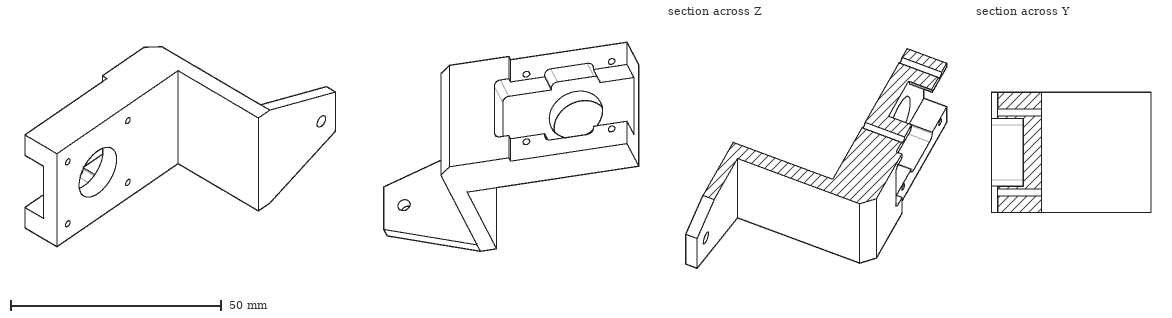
import cadquery as cq


total_width = 37.9
total_length = 69.3
height = 28.6

arm_back_x = 11.9
arm_step_depth = 1.5
arm_step_length = 28.7

web_thickness = 4.0
tab_thickness = 3.0
tab_length = 23.0
tab_tip_height = 12.0
corner_chamfer = 3.0
web_back_y = total_length - tab_length
web_front_y = web_back_y - web_thickness

pocket_depth = 7.5
pocket_length = 32.3
pocket_height = 16.0
bay_length = 12.0
bay_height = 20.0
pocket_corner_radius = 1.5

bore_diameter = 13.1
bore_y = 14.3
screw_hole_diameter = 1.6
screw_spacing_y = 21.0
screw_spacing_z = 19.0
screw_center_y = bore_y
tab_hole_diameter = 3.0
tab_hole_from_tip = 5.0


def z_profile():
    """Stepped Z-shaped bar, extruded over the full height."""
    tab_x = total_width - tab_thickness
    outline = [
        (arm_step_depth, 0),
        (arm_back_x, 0),
        (arm_back_x, web_front_y),
        (total_width, web_front_y),
        (total_width, total_length),
        (tab_x, total_length),
        (tab_x, web_back_y),
        (corner_chamfer, web_back_y),
        (0, web_back_y - corner_chamfer),
        (0, arm_step_length),
        (arm_step_depth, arm_step_length),
    ]
    return cq.Workplane("XY").polyline(outline).close().extrude(height / 2, both=True)


def tab_taper(side):
    """Wedge that tapers one edge of the tab; side is +1 (top) or -1 (bottom)."""
    outline = [
        (web_back_y, side * height / 2),
        (total_length, side * tab_tip_height / 2),
        (total_length, side * height / 2),
    ]
    return cq.Workplane("YZ").polyline(outline).close().extrude(total_width)


def rounded_block(length, block_height, center_y):
    """Block as deep as the pocket, with its corners rounded as seen along X."""
    return (
        cq.Workplane("YZ")
        .center(center_y, 0)
        .rect(length, block_height)
        .extrude(pocket_depth)
        .edges("|X")
        .fillet(pocket_corner_radius)
    )


def pocket():
    """Channel open at the free end, with a wider bay around the bore."""
    overrun = 2 * pocket_corner_radius
    channel = rounded_block(pocket_length + overrun, pocket_height, (pocket_length - overrun) / 2)
    bay = rounded_block(bay_length, bay_height, bore_y)
    return channel.union(bay)


def hole(diameter, y, z):
    """Round hole along X through the whole width of the part."""
    return cq.Workplane("YZ").center(y, z).circle(diameter / 2).extrude(total_width)


result = z_profile()
for side in (1, -1):
    result = result.cut(tab_taper(side))

result = result.cut(pocket())
result = result.cut(hole(bore_diameter, bore_y, 0))
for y_side in (1, -1):
    for z_side in (1, -1):
        screw_y = screw_center_y + y_side * screw_spacing_y / 2
        screw_z = z_side * screw_spacing_z / 2
        result = result.cut(hole(screw_hole_diameter, screw_y, screw_z))

result = result.cut(hole(tab_hole_diameter, total_length - tab_hole_from_tip, 0))